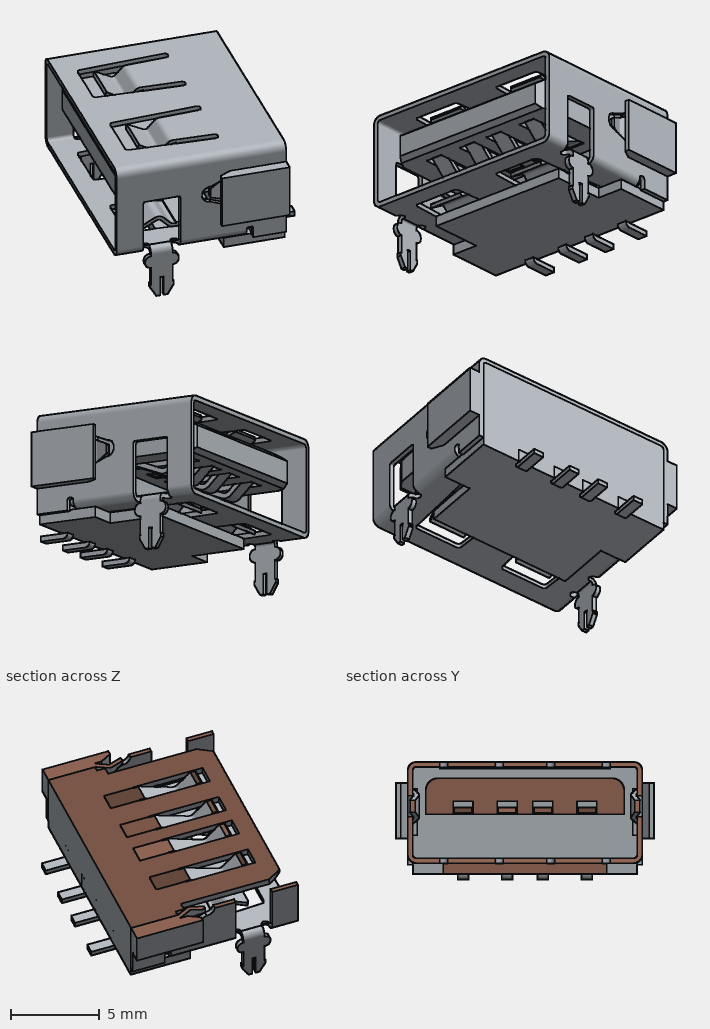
import cadquery as cq


END_ROUNDNESS = 0.48

SHELL_WIDTH = 13.2
SHELL_HEIGHT = 5.7
SHELL_LENGTH = 10.0
SHEET = 0.29
BEND_RADIUS = 0.5
INNER_WIDTH = SHELL_WIDTH - 2 * SHEET
INNER_HEIGHT = SHELL_HEIGHT - 2 * SHEET
INNER_RADIUS = BEND_RADIUS - SHEET
SHELL_SIDE = SHELL_WIDTH / 2
INNER_SIDE = INNER_WIDTH / 2
MID_HEIGHT = SHELL_HEIGHT / 2

RELIEF_FRONT = 7.67
RELIEF_REAR = 8.06
RELIEF_HEIGHT = 0.64
SKIRT_DROP = 0.09

ARM_CENTRE = 3.0
ARM_ROOT = 6.6
ARM_BEND = 3.95
ARM_PEAK = 3.26
ARM_TIP = 2.06
ARM_THICKNESS = 0.22
ARM_PEAK_HEIGHT = 0.78
ARM_TIP_HEIGHT = 0.12
ARM_BEND_RADIUS = 0.33
ARM_ROOT_WIDTH = 2.78
ARM_TIP_WIDTH = 2.38
ARM_CORNER = 0.2
ARM_FRONT_LIMIT = 2.0
SLOT_FRONT = 1.2
SLOT_ROOT_WIDTH = 3.64
SLOT_FRONT_WIDTH = 3.09
SLOT_END_RADIUS = 0.17

LEG_CENTRE = 2.67
WINDOW_LENGTH = 2.19
WINDOW_TOP = 3.41
WINDOW_CORNER = 0.13
LEG_BEND_RADIUS = 0.4
LEG_WIDTH = 1.28
LEG_BOTTOM = -2.9
LEG_LOBE_WIDTH = 2.0
LEG_LOBE_TOP = -0.23
LEG_LOBE_BOTTOM = -1.0
LEG_BARB_WIDTH = 1.39
LEG_BARB_TOP = -2.09
LEG_BARB_BOTTOM = -2.29
LEG_TIP_WIDTH = 0.67
LEG_SPLIT_WIDTH = 0.2
LEG_SPLIT_TOP = -1.71
NOTCH_DEPTH = 0.67

OVERALL_WIDTH = 14.5
WING_SIDE = OVERALL_WIDTH / 2
WING_FRONT = 6.0
WING_NOSE = 0.28
WING_ROOT = 6.67
WING_BOTTOM = 1.39
WING_TOP = 4.52

TAB_HEIGHT = 3.2
HOLE_TIP = 5.03
HOLE_TIP_RADIUS = 0.5
HOLE_ROOT = 7.1
HOLE_ROOT_HALF = 1.13
TAB_ROOT = 7.1
TAB_PEAK = 6.38
TAB_TIP = 5.54
TAB_PEAK_RISE = 0.38
TAB_TIP_RISE = 0.09
TAB_BEND_RADIUS = 0.22
TAB_TIP_HALF = 0.28
TAB_ROOT_HALF = 0.99
TAB_CORNER = 0.15

WALL_FRONT = WING_ROOT
BASE_FRONT = 6.41
BASE_BOTTOM = -0.61
BASE_TONGUE_WIDTH = 9.21
BASE_TONGUE_FRONT = 3.05
POCKET_DEPTH = 0.5
POCKET_INSET = 0.26
POCKET_BOTTOM = 1.58
POCKET_TOP = TAB_HEIGHT + TAB_ROOT_HALF
TOP_NOTCH_WIDTH = 9.57
TOP_NOTCH_HEIGHT = 0.1
TOP_NOTCH_DEPTH = 0.15

TONGUE_FRONT = 0.51
TONGUE_BEVEL_LENGTH = 0.84
TONGUE_WIDTH = 11.16
TONGUE_BOTTOM = 2.75
TONGUE_TOP = 4.78
TONGUE_CORNER = 0.7
NOSE_WIDTH = 10.15
NOSE_BOTTOM = 2.99
NOSE_TOP = 4.26

CONTACT_CENTRES = (-3.48, -1.0, 1.0, 3.48)
CONTACT_THICKNESS = 0.3
SPRING_WIDTH = 1.02
SPRING_END = 7.54
SPRING_BEND = 5.51
SPRING_PEAK = 3.25
SPRING_TIP = 2.1
SPRING_ROOT_HEIGHT = 2.99
SPRING_PEAK_HEIGHT = 2.1
SPRING_TIP_HEIGHT = 3.16
SPRING_BEND_RADIUS = 0.44
SPRING_SLOT_WIDTH = 1.1
SPRING_SLOT_FRONT = 1.6
SPRING_SLOT_REAR = 5.8
SPRING_SLOT_TOP = 3.48
TAIL_WIDTH = 0.62
TAIL_REACH = 1.39
TAIL_FRONT = 9.64
TAIL_TOP = SHEET
TAIL_BEND_RADIUS = 0.3


def block(x_range, y_range, z_range):
    """Box between the given limits on each axis."""
    size = [high - low for low, high in (x_range, y_range, z_range)]
    return cq.Workplane("XY").box(*size, centered=False).translate((x_range[0], y_range[0], z_range[0]))


def side_prism(points, x_start, x_end):
    """Polygon of (y, z) points, extruded along X."""
    return cq.Workplane("YZ").workplane(offset=x_start).polyline(points).close().extrude(x_end - x_start)


def plan_prism(points, z_start, z_end):
    """Polygon of (x, y) points, extruded along Z."""
    return cq.Workplane("XY").workplane(offset=z_start).polyline(points).close().extrude(z_end - z_start)


def bent_strip(points, bend_radius, width, thickness, x_centre):
    """Sheet strip whose mid-line is a (y, z) polyline with rounded bends; it starts parallel to Y."""
    path = cq.Wire.makePolygon([cq.Vector(x_centre, y, z) for y, z in points]).fillet(bend_radius)
    start = cq.Plane(origin=(x_centre, *points[0]), xDir=(1, 0, 0), normal=(0, -1, 0))
    return cq.Workplane(start).rect(width, thickness).sweep(cq.Workplane(path))


def with_mirror(solid):
    """A feature of the -X side together with its twin on the +X side."""
    return solid.union(solid.mirror("YZ"))


def rounded_box(width, height, radius, y_start, y_end):
    """Box along Y with rounded long edges, centred on the axis of the shell."""
    return (
        block((-width / 2, width / 2), (y_start, y_end), (MID_HEIGHT - height / 2, MID_HEIGHT + height / 2))
        .edges("|Y")
        .fillet(radius)
    )


def shell_tube():
    outer = rounded_box(SHELL_WIDTH, SHELL_HEIGHT, BEND_RADIUS, 0, SHELL_LENGTH)
    inner = rounded_box(INNER_WIDTH, INNER_HEIGHT, INNER_RADIUS, 0, SHELL_LENGTH)
    return outer.cut(inner)


def rear_opening():
    """Round-topped relief slot, and the floor that is missing behind it."""
    relief = (
        block((-SHELL_SIDE, SHELL_SIDE), (RELIEF_FRONT, RELIEF_REAR), (0, RELIEF_HEIGHT))
        .edges("|X and >Z")
        .fillet(END_ROUNDNESS * (RELIEF_REAR - RELIEF_FRONT))
    )
    rear_floor = block((-SHELL_SIDE, SHELL_SIDE), (RELIEF_REAR, SHELL_LENGTH), (0, BEND_RADIUS))
    return relief.union(rear_floor)


def skirts():
    return with_mirror(
        block((-SHELL_SIDE, -INNER_SIDE), (RELIEF_REAR, SHELL_LENGTH), (-SKIRT_DROP, BEND_RADIUS))
    )


def arm_plan(x_centre, z_start, z_end):
    """Tapered outline of a spring arm with rounded tip corners."""
    root, tip = ARM_ROOT_WIDTH / 2, ARM_TIP_WIDTH / 2
    points = [(-root, ARM_ROOT), (root, ARM_ROOT), (tip, ARM_FRONT_LIMIT), (-tip, ARM_FRONT_LIMIT)]
    plan = plan_prism(points, z_start, z_end).edges("|Z and <Y").fillet(ARM_CORNER)
    return plan.translate((x_centre, 0, 0))


def arm_cutout(x_centre):
    """U-shaped slot around a floor arm, with the bent stretch of the arm removed too."""
    root, front = SLOT_ROOT_WIDTH / 2, SLOT_FRONT_WIDTH / 2
    points = [(-root, ARM_ROOT), (root, ARM_ROOT), (front, SLOT_FRONT), (-front, SLOT_FRONT)]
    outline = plan_prism(points, 0, SHEET).edges("|Z and <Y").fillet(ARM_CORNER).translate((x_centre, 0, 0))
    slot = outline.cut(arm_plan(x_centre, 0, SHEET)).edges("|Z and >Y").fillet(SLOT_END_RADIUS)
    bent_part = block((x_centre - front, x_centre + front), (ARM_FRONT_LIMIT, ARM_BEND + SHEET), (0, SHEET))
    return slot.union(bent_part)


def floor_arm(x_centre):
    """Bent front stretch of a floor arm."""
    mid_flat = ARM_THICKNESS / 2
    mid_line = [
        (ARM_BEND + 2 * SHEET, mid_flat),
        (ARM_BEND, mid_flat),
        (ARM_PEAK, ARM_PEAK_HEIGHT),
        (ARM_TIP, ARM_TIP_HEIGHT),
    ]
    strip = bent_strip(mid_line, ARM_BEND_RADIUS, SLOT_ROOT_WIDTH, ARM_THICKNESS, x_centre)
    return strip.intersect(arm_plan(x_centre, -SHEET, MID_HEIGHT))


def roof_copy(solid):
    """The same feature on the roof of the shell."""
    return solid.mirror("XY", (0, 0, MID_HEIGHT))


def window():
    """Side window, running down through the floor bend, with a notch on each side of the leg."""
    front, rear = LEG_CENTRE - WINDOW_LENGTH / 2, LEG_CENTRE + WINDOW_LENGTH / 2
    opening = (
        block((-SHELL_SIDE, LEG_BEND_RADIUS - SHELL_SIDE), (front, rear), (0, WINDOW_TOP))
        .edges("|X and >Z")
        .fillet(WINDOW_CORNER)
    )
    notch_width = (WINDOW_LENGTH - LEG_WIDTH) / 2
    for start in (front, rear - notch_width):
        notch = (
            block((-SHELL_SIDE, NOTCH_DEPTH - SHELL_SIDE), (start, start + notch_width), (0, SHEET))
            .edges("|Z and >X")
            .fillet(END_ROUNDNESS * notch_width)
        )
        opening = opening.union(notch)
    return opening


def leg():
    """Board leg: a strip bent down from the floor, with round lobes, barbs and a split tip."""
    half, barb, tip = LEG_WIDTH / 2, LEG_BARB_WIDTH / 2, LEG_TIP_WIDTH / 2
    bend_end = SHEET - LEG_BEND_RADIUS
    stem = (
        side_prism(
            [
                (-half, bend_end),
                (half, bend_end),
                (half, LEG_BARB_TOP),
                (barb, LEG_BARB_TOP),
                (barb, LEG_BARB_BOTTOM),
                (tip, LEG_BOTTOM),
                (-tip, LEG_BOTTOM),
                (-barb, LEG_BARB_BOTTOM),
                (-barb, LEG_BARB_TOP),
                (-half, LEG_BARB_TOP),
            ],
            -SHELL_SIDE,
            -INNER_SIDE,
        )
        .translate((0, LEG_CENTRE, 0))
    )
    lobes = (
        block(
            (-SHELL_SIDE, -INNER_SIDE),
            (LEG_CENTRE - LEG_LOBE_WIDTH / 2, LEG_CENTRE + LEG_LOBE_WIDTH / 2),
            (LEG_LOBE_BOTTOM, LEG_LOBE_TOP),
        )
        .edges("|X")
        .fillet(END_ROUNDNESS * (LEG_LOBE_TOP - LEG_LOBE_BOTTOM))
    )
    split = block(
        (-SHELL_SIDE, -INNER_SIDE),
        (LEG_CENTRE - LEG_SPLIT_WIDTH / 2, LEG_CENTRE + LEG_SPLIT_WIDTH / 2),
        (LEG_BOTTOM, LEG_SPLIT_TOP),
    )
    bend_axis = LEG_BEND_RADIUS - SHELL_SIDE
    bend = (
        cq.Workplane("XZ", origin=(bend_axis, LEG_CENTRE + half, bend_end))
        .circle(LEG_BEND_RADIUS)
        .circle(LEG_BEND_RADIUS - SHEET)
        .extrude(LEG_WIDTH)
        .intersect(
            block((-SHELL_SIDE, bend_axis), (LEG_CENTRE - half, LEG_CENTRE + half), (bend_end, SHEET))
        )
    )
    return stem.union(lobes).cut(split).union(bend)


def wing():
    """Solid side wing whose front slants back towards the shell."""
    return plan_prism(
        [
            (-WING_SIDE, SHELL_LENGTH),
            (-WING_SIDE, WING_FRONT),
            (WING_NOSE - WING_SIDE, WING_FRONT),
            (-SHELL_SIDE, WING_ROOT),
            (-SHELL_SIDE, SHELL_LENGTH),
        ],
        WING_BOTTOM,
        WING_TOP,
    )


def tab_hole():
    """Side hole that narrows to a round end towards the mouth."""
    tip_centre = HOLE_TIP + HOLE_TIP_RADIUS
    return (
        cq.Workplane("YZ", origin=(-SHELL_SIDE, 0, TAB_HEIGHT))
        .moveTo(HOLE_ROOT, HOLE_ROOT_HALF)
        .lineTo(tip_centre, HOLE_TIP_RADIUS)
        .threePointArc((HOLE_TIP, 0), (tip_centre, -HOLE_TIP_RADIUS))
        .lineTo(HOLE_ROOT, -HOLE_ROOT_HALF)
        .close()
        .extrude(SHEET)
    )


def retention_tab():
    """Tapered tab that leaves the wall at its root, peaks inside and slopes back to a free tip."""
    embedded_end = TAB_ROOT + SHEET
    mid_line = [(embedded_end, 0), (TAB_ROOT, 0), (TAB_PEAK, TAB_PEAK_RISE), (TAB_TIP, TAB_TIP_RISE)]
    strip = (
        bent_strip(mid_line, TAB_BEND_RADIUS, 2 * TAB_ROOT_HALF, SHEET, 0)
        .rotate((0, 0, 0), (0, 1, 0), 90)
        .translate((SHEET / 2 - SHELL_SIDE, 0, TAB_HEIGHT))
    )
    outline = [
        (embedded_end, TAB_ROOT_HALF),
        (TAB_ROOT, TAB_ROOT_HALF),
        (TAB_TIP, TAB_TIP_HALF),
        (TAB_TIP, -TAB_TIP_HALF),
        (TAB_ROOT, -TAB_ROOT_HALF),
        (embedded_end, -TAB_ROOT_HALF),
    ]
    plan = side_prism(outline, -SHELL_SIDE, 0).edges("|X and <Y").fillet(TAB_CORNER)
    return strip.intersect(plan.translate((0, 0, TAB_HEIGHT)))


def make_shell():
    shell = shell_tube().cut(rear_opening()).union(skirts())
    for x_centre in (-ARM_CENTRE, ARM_CENTRE):
        cutout, arm = arm_cutout(x_centre), floor_arm(x_centre)
        shell = shell.cut(cutout).cut(roof_copy(cutout)).union(arm).union(roof_copy(arm))
    shell = shell.cut(with_mirror(window())).union(with_mirror(leg()))
    shell = shell.cut(with_mirror(tab_hole())).union(with_mirror(wing()))
    return shell.union(with_mirror(retention_tab()))


def make_spring(x_centre):
    """Contact spring: held in the tongue, bowed out below it, tip back inside its slot."""
    mid_line = [
        (SPRING_END, SPRING_ROOT_HEIGHT),
        (SPRING_BEND, SPRING_ROOT_HEIGHT),
        (SPRING_PEAK, SPRING_PEAK_HEIGHT),
        (SPRING_TIP, SPRING_TIP_HEIGHT),
    ]
    return bent_strip(mid_line, SPRING_BEND_RADIUS, SPRING_WIDTH, CONTACT_THICKNESS, x_centre)


def make_tail(x_centre):
    """Solder tail: flat under the base, bent up into the rear of the housing."""
    end = SHELL_LENGTH + TAIL_REACH
    bottom = BASE_BOTTOM - CONTACT_THICKNESS
    rear = TAIL_FRONT + CONTACT_THICKNESS
    points = [
        (TAIL_FRONT, TAIL_TOP),
        (TAIL_FRONT, bottom),
        (end, bottom),
        (end, BASE_BOTTOM),
        (rear, BASE_BOTTOM),
        (rear, TAIL_TOP),
    ]
    tail = side_prism(points, x_centre - TAIL_WIDTH / 2, x_centre + TAIL_WIDTH / 2)
    return tail.edges("|X and <Y and <Z").fillet(TAIL_BEND_RADIUS)


def rear_wall():
    """Block that fills the rear of the shell, with side pockets and a shallow top notch."""
    wall = rounded_box(INNER_WIDTH, INNER_HEIGHT, INNER_RADIUS, WALL_FRONT, SHELL_LENGTH)
    pocket = block(
        (-INNER_SIDE, POCKET_INSET - INNER_SIDE),
        (WALL_FRONT, WALL_FRONT + POCKET_DEPTH),
        (POCKET_BOTTOM, POCKET_TOP),
    )
    roof = SHELL_HEIGHT - SHEET
    notch = block(
        (-TOP_NOTCH_WIDTH / 2, TOP_NOTCH_WIDTH / 2),
        (WALL_FRONT, WALL_FRONT + TOP_NOTCH_DEPTH),
        (roof - TOP_NOTCH_HEIGHT, roof),
    )
    return wall.cut(with_mirror(pocket)).cut(notch)


def base():
    """Plate under the shell floor, joined to the wall behind the end of the floor."""
    plate = block((-INNER_SIDE, INNER_SIDE), (BASE_FRONT, SHELL_LENGTH), (BASE_BOTTOM, 0))
    half = BASE_TONGUE_WIDTH / 2
    front_plate = block((-half, half), (BASE_TONGUE_FRONT, BASE_FRONT), (BASE_BOTTOM, 0))
    riser = block((-INNER_SIDE, INNER_SIDE), (RELIEF_REAR, SHELL_LENGTH), (0, SHEET + INNER_RADIUS))
    return plate.union(front_plate).union(riser)


def tongue():
    """Contact tongue with round top edges and a bevelled nose."""
    half, nose = TONGUE_WIDTH / 2, NOSE_WIDTH / 2
    bevel_end = TONGUE_FRONT + TONGUE_BEVEL_LENGTH
    bevel_slope = (TONGUE_TOP - NOSE_TOP) / TONGUE_BEVEL_LENGTH
    bottom_bevel_end = TONGUE_FRONT + (NOSE_BOTTOM - TONGUE_BOTTOM) / bevel_slope
    body = (
        block((-half, half), (TONGUE_FRONT, WALL_FRONT), (TONGUE_BOTTOM, TONGUE_TOP))
        .edges("|Y and >Z")
        .fillet(TONGUE_CORNER)
    )
    plan = [
        (-nose, TONGUE_FRONT),
        (nose, TONGUE_FRONT),
        (half, bevel_end),
        (half, WALL_FRONT),
        (-half, WALL_FRONT),
        (-half, bevel_end),
    ]
    profile = [
        (TONGUE_FRONT, NOSE_BOTTOM),
        (TONGUE_FRONT, NOSE_TOP),
        (bevel_end, TONGUE_TOP),
        (WALL_FRONT, TONGUE_TOP),
        (WALL_FRONT, TONGUE_BOTTOM),
        (bottom_bevel_end, TONGUE_BOTTOM),
    ]
    body = body.intersect(plan_prism(plan, TONGUE_BOTTOM, TONGUE_TOP))
    return body.intersect(side_prism(profile, -half, half))


def spring_slot(x_centre):
    """Clearance slot in the underside of the tongue."""
    half = SPRING_SLOT_WIDTH / 2
    return block(
        (x_centre - half, x_centre + half),
        (SPRING_SLOT_FRONT, SPRING_SLOT_REAR),
        (TONGUE_BOTTOM, SPRING_SLOT_TOP),
    )


def make_housing(contacts):
    housing = rear_wall().union(base()).union(tongue())
    for x_centre in CONTACT_CENTRES:
        housing = housing.cut(spring_slot(x_centre))
    for contact in contacts:
        housing = housing.cut(contact)
    return housing


shell = make_shell()
springs = [make_spring(x_centre) for x_centre in CONTACT_CENTRES]
tails = [make_tail(x_centre) for x_centre in CONTACT_CENTRES]
housing = make_housing(springs + tails)
bodies = [shell, housing, *springs, *tails]

result = cq.Compound.makeCompound([body.solids().val() for body in bodies])